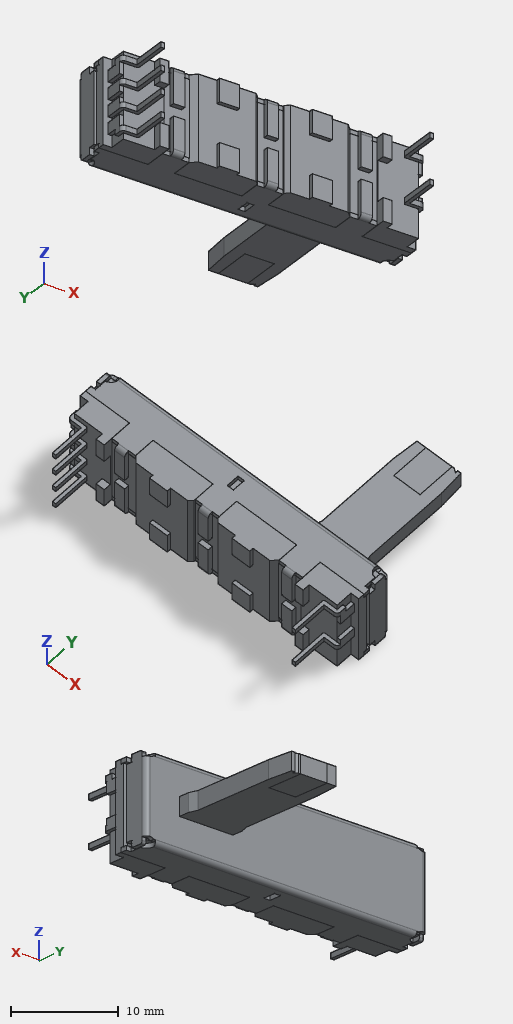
import cadquery as cq


length = 35.0
height = 9.4
lever_reach = 15.0
terminal_reach = 10.5
half_length = length / 2
half_height = height / 2

wall = 0.5
bend_radius = 0.52
cover_depth = 3.5
flap_depth = 2.73
flap_shoulder_depth = 2.0
flap_tip_half_height = 3.95
flap_corner_radius = 0.28
flap_gap = 0.07
relief_radius = 0.65
side_relief_radius = 0.85
window_width = 0.77
window_height = 1.47
window_center_depth = 2.0
inner_half_length = half_length - wall
inner_half_height = half_height - wall

strap_pitch = 10.5
strap_width = 2.98
strap_depth = 5.9
lance_width = 1.25
lance_thickness = 0.55
lance_half_gap = 0.65

rim_top_depth = 3.15
rim_bottom_depth = 4.25
end_half_length = 16.52
end_depth = 6.12
block_depth = 6.5
outer_chamfer = 0.63
inner_chamfer = 0.42
foot_depth = 6.95
foot_height = 2.52
end_foot_width = 1.0
middle_foot_width = 2.25
middle_foot_x = 5.18

terminal_thickness = 0.42
lead_width = 0.6
blade_width = 1.25
blade_shoulder_depth = 5.35
lead_outer_x = 15.25
lead_bend_radius = 0.18
inner_lead_z = 1.25
outer_lead_z = 3.75
inner_blade_edge = inner_lead_z + lead_width / 2 - blade_width
outer_blade_edge = 2.17

lever_x = 10.0
lever_thickness = 2.0
lever_root_half_width = 3.32
lever_half_width = 3.0
lever_tip_half_width = 2.75
root_length = 1.25
root_taper_end = 2.25
tip_taper_length = 2.98
insert_width = 3.3
insert_length = 4.4
notch_start = 1.92
notch_width = 0.42
notch_depth = 0.28


def block(x_range, depth_range, z_range):
    """Box between two X values, two depths below the cover face and two Z values."""
    (x0, x1), (d0, d1), (z0, z1) = x_range, depth_range, z_range
    return cq.Workplane("XY").box(x1 - x0, d1 - d0, z1 - z0, centered=False).translate((x0, -d1, z0))


def centered_block(half_x, depth_range, half_z):
    return block((-half_x, half_x), depth_range, (-half_z, half_z))


def mirrored_x(shape):
    return shape.union(shape.mirror("YZ"))


def mirrored_z(shape):
    return shape.union(shape.mirror("XY"))


def plate(points, z_low, z_high):
    """Straight-sided outline in X and Y, extruded between two Z values."""
    return cq.Workplane("XY").workplane(offset=z_low).polyline(points).close().extrude(z_high - z_low)



def flap_trims():
    """Material removed at the -X, +Z corner to free the end flap from the side wall."""
    outside = -half_length
    wall_end = -inner_half_length + flap_gap
    slit = block((-inner_half_length, wall_end), (bend_radius, flap_depth), (inner_half_height, half_height))
    shoulder = block(
        (outside, wall_end), (flap_shoulder_depth, flap_depth), (flap_tip_half_height, half_height)
    )
    below_tip = block(
        (outside, -inner_half_length), (flap_depth, cover_depth), (-inner_half_height, inner_half_height)
    )
    return slit.union(shoulder).union(below_tip)


def corner_relief():
    """Punched hole at the -X, +Z corner where the two bends of the cover meet."""
    corner_x = -half_length + bend_radius
    face_hole = (
        cq.Workplane("XZ").center(corner_x, half_height).circle(relief_radius).extrude(bend_radius)
    )
    bend_cut = block((-half_length, corner_x), (0, bend_radius), (half_height - relief_radius, half_height))
    side_hole = (
        cq.Workplane("XY").workplane(offset=inner_half_height)
        .center(corner_x, -bend_radius).circle(side_relief_radius).extrude(wall)
    )
    flap_zone = block(
        (-half_length - side_relief_radius, -inner_half_length), (0, cover_depth), (0, half_height)
    )
    return face_hole.union(bend_cut).union(side_hole.cut(flap_zone))


def flap_corner_rounding():
    """Sliver outside the rounded upper corner of the -X flap, at +Z."""
    r = flap_corner_radius
    corner = block(
        (-half_length, -inner_half_length), (bend_radius, bend_radius + r), (half_height - r, half_height)
    )
    disc = (
        cq.Workplane("YZ").workplane(offset=-half_length)
        .center(-bend_radius - r, half_height - r).circle(r).extrude(wall)
    )
    return corner.cut(disc)


def lance(x):
    """Tongue at +Z that is bent over the base, with a round outer corner."""
    tongue = block(
        (x - lance_width / 2, x + lance_width / 2),
        (strap_depth, strap_depth + lance_thickness),
        (lance_half_gap, half_height),
    )
    return tongue.faces(">Z").edges("<Y").fillet(bend_radius)


def make_cover():
    cover = centered_block(half_length, (0, cover_depth), half_height)
    cover = cover.faces(">Y").edges().fillet(bend_radius)
    cover = cover.cut(centered_block(inner_half_length, (wall, cover_depth), inner_half_height))
    corner_cuts = flap_trims().union(corner_relief()).union(flap_corner_rounding())
    cover = cover.cut(mirrored_z(mirrored_x(corner_cuts)))
    window = block(
        (-window_width / 2, window_width / 2),
        (window_center_depth - window_height / 2, window_center_depth + window_height / 2),
        (inner_half_height, half_height),
    )
    cover = cover.cut(mirrored_z(window))
    for x in (-strap_pitch, 0, strap_pitch):
        strap = block(
            (x - strap_width / 2, x + strap_width / 2),
            (cover_depth, strap_depth),
            (inner_half_height, half_height),
        )
        cover = cover.union(mirrored_z(strap.union(lance(x))))
    return cover



def middle_block():
    """Block between the middle and the +X strap, with chamfered lower edges."""
    inner_x = strap_width / 2
    outer_x = strap_pitch - strap_width / 2
    points = [
        (inner_x, -cover_depth),
        (outer_x, -cover_depth),
        (outer_x, -block_depth + outer_chamfer),
        (outer_x - outer_chamfer, -block_depth),
        (inner_x + inner_chamfer, -block_depth),
        (inner_x, -block_depth + inner_chamfer),
    ]
    return plate(points, -half_height, half_height)


def end_block():
    """Block outside the +X strap, with its rim that carries the cover's end."""
    inner_x = strap_pitch + strap_width / 2
    body = block((inner_x, end_half_length), (cover_depth, end_depth), (-half_height, half_height))
    rim = block((inner_x, half_length), (cover_depth, rim_bottom_depth), (-half_height, half_height))
    return body.union(rim)


def feet():
    """Standoff feet at +X, +Z."""
    z_range = (half_height - foot_height, half_height)
    end_foot_x = strap_pitch + strap_width / 2
    end_foot = block((end_foot_x, end_foot_x + end_foot_width), (cover_depth, foot_depth), z_range)
    middle_foot = block(
        (middle_foot_x - middle_foot_width / 2, middle_foot_x + middle_foot_width / 2),
        (cover_depth, foot_depth),
        z_range,
    )
    return end_foot.union(middle_foot)


def make_base():
    filling = centered_block(inner_half_length, (wall, cover_depth), inner_half_height)
    inner_rim = centered_block(half_length, (rim_top_depth, rim_bottom_depth), inner_half_height)
    floor = centered_block(end_half_length, (wall, strap_depth), inner_half_height)
    side = middle_block().union(end_block()).union(mirrored_z(feet()))
    return filling.union(inner_rim).union(floor).union(mirrored_x(side))



def terminal(lead_z, blade_edge, shouldered):
    """Terminal of the -X, +Z corner: blade down the end wall, strip under the base, lead to -Y.

    The blade reaches from the inner Z edge blade_edge up to the lead, or, when
    shouldered, up to the lead's lower side until it widens at the shoulder.
    """
    t = terminal_thickness
    wall_x = -end_half_length
    lead_x = -lead_outer_x
    lead_low = lead_z - lead_width / 2
    lead_high = lead_z + lead_width / 2
    bent = plate(
        [
            (wall_x - t, -rim_bottom_depth),
            (wall_x, -rim_bottom_depth),
            (wall_x, -end_depth),
            (lead_x + t, -end_depth),
            (lead_x + t, -terminal_reach),
            (lead_x, -terminal_reach),
            (lead_x, -end_depth - t),
            (wall_x - t, -end_depth - t),
        ],
        lead_low,
        lead_high,
    )
    blade_bend = cq.selectors.NearestToPointSelector((wall_x - t, -end_depth - t, lead_z))
    lead_bend = cq.selectors.NearestToPointSelector((lead_x + t, -end_depth, lead_z))
    bent = bent.edges(blade_bend).fillet(t)
    bent = bent.edges(lead_bend).fillet(lead_bend_radius)
    blade = block((wall_x - t, wall_x), (rim_bottom_depth, end_depth), (blade_edge, lead_low))
    if shouldered:
        above_shoulder = block(
            (wall_x - t, wall_x), (rim_bottom_depth, blade_shoulder_depth), (lead_low, lead_high)
        )
        bent = bent.cut(above_shoulder)
    return bent.union(blade)


def make_terminals():
    outer = terminal(outer_lead_z, outer_blade_edge, True)
    inner = terminal(inner_lead_z, inner_blade_edge, False)
    left = [outer, inner, inner.mirror("XY"), outer.mirror("XY")]
    right = [outer.mirror("YZ"), inner.mirror("XY").mirror("YZ")]
    return left + right



def make_insert():
    return (
        cq.Workplane("XY")
        .box(insert_width, insert_length, lever_thickness)
        .translate((lever_x, lever_reach - insert_length / 2, 0))
    )


def make_lever(insert):
    right_side = [
        (lever_root_half_width, 0),
        (lever_root_half_width, root_length),
        (lever_half_width, root_taper_end),
        (lever_half_width, lever_reach - tip_taper_length),
        (lever_tip_half_width, lever_reach),
    ]
    left_side = [(-x, y) for x, y in reversed(right_side)]
    lever = plate(right_side + left_side, -lever_thickness / 2, lever_thickness / 2)
    notch_end = notch_start + notch_width
    notch = plate(
        [(notch_start, lever_reach), (notch_end, lever_reach - notch_depth), (notch_end, lever_reach)],
        -lever_thickness / 2,
        lever_thickness / 2,
    )
    return lever.cut(notch).translate((lever_x, 0, 0)).cut(insert)


cover = make_cover()
base = make_base()
terminals = make_terminals()
insert = make_insert()
lever = make_lever(insert)

bodies = [cover, base, lever, insert, *terminals]
result = cq.Compound.makeCompound([body.solids().val() for body in bodies])